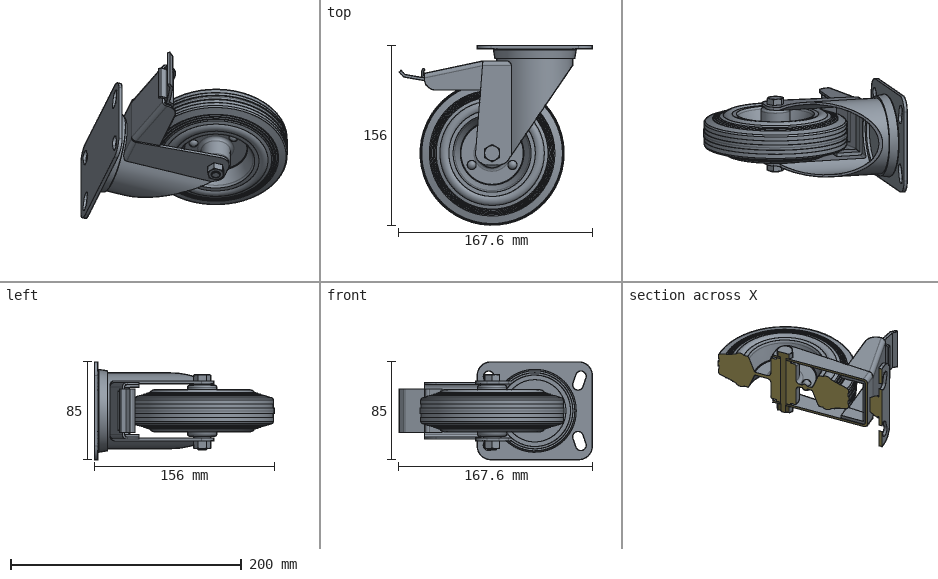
import cadquery as cq
import math


SWIVEL_X = 37.0
PLATE_LENGTH = 100.0
PLATE_WIDTH = 85.0
PLATE_THICKNESS = 3.0
PLATE_TOP_Y = 93.5
PLATE_CORNER_RADIUS = 12.0
PLATE_BOTTOM_Y = PLATE_TOP_Y - PLATE_THICKNESS
SLOT_WIDTH = 9.0
SLOT_LENGTH = 16.8
SLOT_ANGLE = 71.0
SLOT_PITCH_X = 77.4
SLOT_PITCH_Z = 52.4

HEAD_TOP_RADIUS = 36.0
HEAD_BOTTOM_RADIUS = 34.7
HEAD_BEVEL = 0.9
HEAD_BOTTOM_Y = 82.0

FORK_OUTER_Z = 26.0
FORK_SHEET = 2.6
FORK_INNER_Z = FORK_OUTER_Z - FORK_SHEET
FORK_WEB_TOP_Y = 80.0
FORK_BEND_RADIUS = 4.0
FORK_BEND_INNER_RADIUS = 2.0
FORK_TUBE_RADIUS = 33.0
FORK_TUBE_BORE_RADIUS = 31.0
FORK_TOP_OPENING_RADIUS = 54.0 / 2
FORK_FRONT_TOP_X = -8.0
FORK_FRONT_BOTTOM_X = -15.2
FORK_LEG_BOTTOM_Y = -10.2
FORK_LEG_CORNER_RADIUS = 10.0
FORK_REAR_X = SWIVEL_X + FORK_TUBE_RADIUS
FORK_REAR_CUT_Y = 76.3
FORK_REAR_SLOPE = 1.468

BRACKET_OUTER_Z = 24.6
BRACKET_SHEET = 2.0
BRACKET_FRONT_X = -58.7
BRACKET_FRONT_TOP_Y = 69.3
BRACKET_BOTTOM_Y = 54.6
BRACKET_CORNER_RADIUS = 10.0
BRACKET_BEND_RADIUS = 4.0
LINER_SHEET = 2.0
LINER_REAR_X = 3.0
LINER_INNER_Z = 20.4

PEDAL_HALF_WIDTH = 19.0
NOSE_SHEET = 2.4
OVERALL_LENGTH = 167.55
PEDAL_TIP_X = SWIVEL_X + PLATE_LENGTH / 2 - OVERALL_LENGTH
TIP_Y = 70.2
TIP_STEP = 1.7
HANDLE_BEND_X = -76.3
HANDLE_BEND_Y = 65.9
HANDLE_BEND_SHIFT = 0.6
HANDLE_BEND_RADIUS = 2.4
HANDLE_RISE = 2.5
HANDLE_END_Y = 62.8
NOSE_FRONT_X = -58.7
NOSE_ARC_START = (-57.8, 60.2)
NOSE_ARC_MIDDLE = (-56.3, 58.3)
NOSE_ARC_END = (-54.1, 58.5)
NOSE_INNER_CORNER = (-55.4, 60.6)
ARM_TOP_Y = 69.0
LEAF_HALF_WIDTH = 17.0
LEAF_END_X = -24.0
LEAF_SHEET = 2.0
TAB_FRONT_X = -61.1
TAB_HOOK_Y = 71.4
TAB_HOOK_REACH = 0.9

HUB_RADIUS = 25.4 / 2
HUB_HALF_LENGTH = 22.2
HUB_EDGE_FILLET = 2.0
HUB_FOOT_RADIUS = 15.7
BUSH_RADIUS = 15.0 / 2
DISC_HALF_THICKNESS = 1.8
DISC_RADIUS = 54.0 / 2
DISC_EDGE_STEP = 0.6
RIM_BORE_RADIUS = 65.0 / 2
RIM_LIP_RADIUS = 33.8
RIM_LIP_Z = 17.0
RIM_LIP_BEVEL = 2.0
BEAD_INNER_RADIUS = 75.0 / 2
BEAD_OUTER_RADIUS = 45.3
BEAD_CREST_RADIUS = 41.5
BEAD_CREST_Z = 18.3
BEAD_FOOT_Z = 16.0
RIB_COUNT = 3
RIB_INNER_RADIUS = 48.5
RIB_PITCH = 2.0
RIB_DEPTH = 0.5
SHOULDER_RADIUS = 61.0
SHOULDER_Z = 11.0
TREAD_RADIUS = 62.5
TREAD_RIDGE_Z = 2.3
TREAD_GROOVE_RADIUS = 61.7
TREAD_GROOVE_Z = 5.9
TREAD_EDGE_RADIUS = 62.0
TREAD_EDGE_Z = 9.5
RIVET_RADIUS = 8.0 / 2
RIVET_CENTRE_Z = 1.0
RIVET_COUNT = 3
RIVET_CIRCLE_RADIUS = 20.4

BOLT_RADIUS = 8.0 / 2
BOLT_END_Z = -33.9
BOLT_END_CHAMFER = (8.0 - 6.65) / 2
HEX_ACROSS_FLATS = 13.0
HEX_CORNER_DIAMETER = HEX_ACROSS_FLATS / math.cos(math.radians(30))
HEX_BEVEL_WIDTH = 1.0
HEX_BEVEL_HEIGHT = 0.5
BOLT_HEAD_HEIGHT = 5.3
NUT_HEIGHT = 6.8


def centred_prism(profile, half_width):
    """Extrude an XY profile to both sides of the wheel's middle plane."""
    return profile.extrude(half_width, both=True)


def block(x_min, x_max, y_min, y_max, half_width):
    profile = cq.Workplane("XY").moveTo(x_min, y_min).lineTo(x_max, y_min)
    return centred_prism(profile.lineTo(x_max, y_max).lineTo(x_min, y_max).close(), half_width)


def swivel_cylinder(radius, y_bottom, y_top):
    base = cq.Vector(SWIVEL_X, y_bottom, 0)
    return cq.Workplane(cq.Solid.makeCylinder(radius, y_top - y_bottom, base, cq.Vector(0, 1, 0)))


def make_plate():
    """Slotted mounting plate with the conical swivel head below it."""
    plate = cq.Workplane("XY").box(PLATE_LENGTH, PLATE_THICKNESS, PLATE_WIDTH)
    plate = plate.edges("|Y").fillet(PLATE_CORNER_RADIUS)
    plate = plate.translate((SWIVEL_X, PLATE_TOP_Y - PLATE_THICKNESS / 2, 0))
    for side_x in (-1, 1):
        for side_z in (-1, 1):
            slot = cq.Workplane("XZ").slot2D(SLOT_LENGTH, SLOT_WIDTH, side_x * side_z * SLOT_ANGLE)
            slot = slot.extrude(PLATE_THICKNESS)
            slot_x = SWIVEL_X + side_x * SLOT_PITCH_X / 2
            plate = plate.cut(slot.translate((slot_x, PLATE_TOP_Y, side_z * SLOT_PITCH_Z / 2)))
    head = (
        cq.Workplane("XY")
        .moveTo(0, HEAD_BOTTOM_Y)
        .lineTo(HEAD_BOTTOM_RADIUS, HEAD_BOTTOM_Y)
        .lineTo(HEAD_TOP_RADIUS, PLATE_BOTTOM_Y - HEAD_BEVEL)
        .lineTo(HEAD_TOP_RADIUS - HEAD_BEVEL, PLATE_BOTTOM_Y)
        .lineTo(0, PLATE_BOTTOM_Y)
        .close()
        .revolve(360, (0, 0, 0), (0, 1, 0))
    )
    return plate.union(head.translate((SWIVEL_X, 0, 0)))


def fork_side_prism():
    """Envelope of the fork as seen along the axle: upright front edge, rounded foot, slanted rear edge."""
    foot_rear_x = FORK_REAR_X - (FORK_REAR_CUT_Y - FORK_LEG_BOTTOM_Y) / FORK_REAR_SLOPE
    outline = cq.Workplane("XY").polyline([
        (FORK_FRONT_BOTTOM_X, FORK_LEG_BOTTOM_Y),
        (foot_rear_x, FORK_LEG_BOTTOM_Y),
        (FORK_REAR_X, FORK_REAR_CUT_Y),
        (FORK_REAR_X, HEAD_BOTTOM_Y),
        (FORK_FRONT_TOP_X, HEAD_BOTTOM_Y),
        (FORK_FRONT_TOP_X, FORK_WEB_TOP_Y),
    ]).close()
    solid = centred_prism(outline, FORK_TUBE_RADIUS)
    return solid.edges("|Z").edges("<Y").fillet(FORK_LEG_CORNER_RADIUS)


def bracket_web_under_y(x):
    """Height of the underside of the bracket's sloping web."""
    run = FORK_FRONT_TOP_X - BRACKET_FRONT_X
    rise = FORK_WEB_TOP_Y - BRACKET_FRONT_TOP_Y
    web_drop = BRACKET_SHEET * math.hypot(run, rise) / run
    return FORK_WEB_TOP_Y - web_drop - (FORK_FRONT_TOP_X - x) * rise / run


def make_bracket():
    """Sloping channel that reaches forward from the fork and carries the pedal."""
    slope_run = FORK_FRONT_TOP_X - BRACKET_FRONT_X
    slope_rise = FORK_WEB_TOP_Y - BRACKET_FRONT_TOP_Y
    slope = cq.Vector(slope_run, slope_rise, 0)
    web_drop = FORK_WEB_TOP_Y - bracket_web_under_y(FORK_FRONT_TOP_X)
    front_slant = (FORK_FRONT_TOP_X - FORK_FRONT_BOTTOM_X) / (FORK_WEB_TOP_Y - FORK_LEG_BOTTOM_Y)
    rear_bottom_x = FORK_FRONT_TOP_X - front_slant * (FORK_WEB_TOP_Y - BRACKET_BOTTOM_Y)

    def channel_fill(drop, half_width, bend_radius):
        outline = cq.Workplane("XY").polyline([
            (BRACKET_FRONT_X, BRACKET_BOTTOM_Y),
            (rear_bottom_x, BRACKET_BOTTOM_Y),
            (FORK_FRONT_TOP_X, FORK_WEB_TOP_Y - drop),
            (BRACKET_FRONT_X, BRACKET_FRONT_TOP_Y - drop),
        ]).close()
        fill = centred_prism(outline, half_width)
        return fill.edges(cq.selectors.ParallelDirSelector(slope)).fillet(bend_radius)

    outer = channel_fill(0, BRACKET_OUTER_Z, BRACKET_BEND_RADIUS)
    outer = outer.edges("|Z").edges("<X").edges("<Y").fillet(BRACKET_CORNER_RADIUS)
    inner_radius = BRACKET_BEND_RADIUS - BRACKET_SHEET
    return outer.cut(channel_fill(web_drop, BRACKET_OUTER_Z - BRACKET_SHEET, inner_radius))


def make_liner():
    """Inner channel flush with the fork's front edge, from the web down to the bracket's lower edge."""
    web_under_y = FORK_WEB_TOP_Y - FORK_SHEET
    outer = block(FORK_FRONT_BOTTOM_X, LINER_REAR_X, BRACKET_BOTTOM_Y, web_under_y, FORK_INNER_Z)
    outer = outer.edges("|X and >Y").fillet(FORK_BEND_INNER_RADIUS)
    opening_top_y = web_under_y - LINER_SHEET
    opening = block(FORK_FRONT_BOTTOM_X, LINER_REAR_X, BRACKET_BOTTOM_Y, opening_top_y, LINER_INNER_Z)
    return outer.cut(opening).intersect(fork_side_prism())


def make_fork():
    """Two legs joined by a web, running into the swivel tube, with the brake bracket."""
    front_x = BRACKET_FRONT_X
    web_under_y = FORK_WEB_TOP_Y - FORK_SHEET
    lowest_y = FORK_LEG_BOTTOM_Y
    channel = block(front_x, SWIVEL_X, lowest_y, FORK_WEB_TOP_Y, FORK_OUTER_Z)
    channel = channel.edges("|X and >Y").fillet(FORK_BEND_RADIUS)
    cavity = block(front_x, SWIVEL_X, lowest_y, web_under_y, FORK_INNER_Z)
    cavity = cavity.edges("|X and >Y").fillet(FORK_BEND_INNER_RADIUS)
    tube = swivel_cylinder(FORK_TUBE_RADIUS, lowest_y, HEAD_BOTTOM_Y)
    bore = swivel_cylinder(FORK_TUBE_BORE_RADIUS, lowest_y, HEAD_BOTTOM_Y - FORK_SHEET)
    bore = bore.union(swivel_cylinder(FORK_TOP_OPENING_RADIUS, lowest_y, HEAD_BOTTOM_Y))

    fork = channel.union(tube).cut(cavity).cut(bore).intersect(fork_side_prism())
    fork = fork.union(make_liner()).union(make_bracket())
    return fork.cut(cq.Workplane("XY").circle(BOLT_RADIUS).extrude(FORK_OUTER_Z, both=True))


def make_handle():
    """Foot plate with a 45-degree tip."""
    bend = (HANDLE_BEND_X, HANDLE_BEND_Y)
    outline = cq.Workplane("XY").polyline([
        (PEDAL_TIP_X, TIP_Y),
        bend,
        (NOSE_FRONT_X, HANDLE_END_Y),
        (NOSE_FRONT_X + NOSE_SHEET, HANDLE_END_Y),
        (NOSE_FRONT_X + NOSE_SHEET, HANDLE_END_Y + HANDLE_RISE),
        (NOSE_FRONT_X, HANDLE_END_Y + HANDLE_RISE),
        (HANDLE_BEND_X + HANDLE_BEND_SHIFT, HANDLE_BEND_Y + HANDLE_RISE),
        (PEDAL_TIP_X + TIP_STEP, TIP_Y + TIP_STEP),
    ]).close()
    handle = centred_prism(outline, PEDAL_HALF_WIDTH)
    return handle.edges(cq.selectors.NearestToPointSelector((*bend, 0))).fillet(HANDLE_BEND_RADIUS)


def make_nose():
    """Rounded nose below the handle, with an arm that climbs at 45 degrees to the leaf."""
    outline = (
        cq.Workplane("XY")
        .moveTo(NOSE_FRONT_X, HANDLE_END_Y)
        .lineTo(*NOSE_ARC_START)
        .threePointArc(NOSE_ARC_MIDDLE, NOSE_ARC_END)
        .lineTo(NOSE_ARC_END[0] + ARM_TOP_Y - NOSE_ARC_END[1], ARM_TOP_Y)
        .lineTo(NOSE_INNER_CORNER[0] + ARM_TOP_Y - NOSE_INNER_CORNER[1], ARM_TOP_Y)
        .lineTo(*NOSE_INNER_CORNER)
        .lineTo(NOSE_FRONT_X + NOSE_SHEET, HANDLE_END_Y)
        .close()
    )
    return centred_prism(outline, PEDAL_HALF_WIDTH)


def make_leaf():
    """Narrower leaf flat against the bracket web, ending in an upright hooked tab at the front."""
    tab_rear_x = TAB_FRONT_X + LEAF_SHEET
    front_top_y = bracket_web_under_y(tab_rear_x)
    front_bottom_y = front_top_y - LEAF_SHEET
    outline = (
        cq.Workplane("XY")
        .moveTo(tab_rear_x, front_bottom_y)
        .lineTo(LEAF_END_X, bracket_web_under_y(LEAF_END_X) - LEAF_SHEET)
        .lineTo(LEAF_END_X, bracket_web_under_y(LEAF_END_X))
        .lineTo(tab_rear_x, front_top_y)
        .lineTo(tab_rear_x, TAB_HOOK_Y)
        .line(TAB_HOOK_REACH, TAB_HOOK_REACH)
        .line(-TAB_HOOK_REACH, TAB_HOOK_REACH)
        .line(-TAB_HOOK_REACH, 0)
        .lineTo(TAB_FRONT_X, TAB_HOOK_Y)
        .lineTo(TAB_FRONT_X, front_top_y)
        .radiusArc((tab_rear_x, front_bottom_y), -LEAF_SHEET)
        .close()
    )
    return centred_prism(outline, LEAF_HALF_WIDTH)


def make_pedal():
    return make_handle().union(make_nose()).union(make_leaf())


def make_wheel():
    """Tyre, rim and hub revolved about the axle, with rivet heads on both disc faces."""
    wall_slope = (BEAD_FOOT_Z - SHOULDER_Z) / (SHOULDER_RADIUS - BEAD_OUTER_RADIUS)

    def wall_z(radius):
        return SHOULDER_Z + (SHOULDER_RADIUS - radius) * wall_slope

    foot_drop = HUB_FOOT_RADIUS - HUB_RADIUS
    half = (
        cq.Workplane("XZ")
        .moveTo(BOLT_RADIUS, 0)
        .lineTo(BOLT_RADIUS, FORK_INNER_Z)
        .lineTo(BUSH_RADIUS, FORK_INNER_Z)
        .lineTo(BUSH_RADIUS, HUB_HALF_LENGTH)
        .lineTo(HUB_RADIUS - HUB_EDGE_FILLET, HUB_HALF_LENGTH)
        .radiusArc((HUB_RADIUS, HUB_HALF_LENGTH - HUB_EDGE_FILLET), HUB_EDGE_FILLET)
        .lineTo(HUB_RADIUS, DISC_HALF_THICKNESS + foot_drop)
        .radiusArc((HUB_FOOT_RADIUS, DISC_HALF_THICKNESS), -foot_drop)
        .lineTo(DISC_RADIUS, DISC_HALF_THICKNESS)
        .line(DISC_EDGE_STEP, DISC_EDGE_STEP)
        .lineTo(RIM_BORE_RADIUS, RIM_LIP_Z - RIM_LIP_BEVEL)
        .lineTo(RIM_LIP_RADIUS, RIM_LIP_Z)
        .lineTo(BEAD_INNER_RADIUS, RIM_LIP_Z)
        .threePointArc((BEAD_CREST_RADIUS, BEAD_CREST_Z), (BEAD_OUTER_RADIUS, BEAD_FOOT_Z))
        .lineTo(RIB_INNER_RADIUS, wall_z(RIB_INNER_RADIUS))
    )
    for rib in range(RIB_COUNT):
        groove_radius = RIB_INNER_RADIUS + (rib + 0.5) * RIB_PITCH
        crest_radius = RIB_INNER_RADIUS + (rib + 1) * RIB_PITCH
        half = half.lineTo(groove_radius, wall_z(groove_radius) - RIB_DEPTH)
        half = half.lineTo(crest_radius, wall_z(crest_radius))
    half = (
        half.lineTo(SHOULDER_RADIUS, SHOULDER_Z)
        .lineTo(TREAD_EDGE_RADIUS, TREAD_EDGE_Z)
        .lineTo(TREAD_EDGE_RADIUS, TREAD_GROOVE_Z)
        .lineTo(TREAD_GROOVE_RADIUS, TREAD_GROOVE_Z)
        .lineTo(TREAD_GROOVE_RADIUS, TREAD_RIDGE_Z)
        .lineTo(TREAD_RADIUS, TREAD_RIDGE_Z)
        .lineTo(TREAD_RADIUS, 0)
        .close()
        .revolve(360, (0, 0, 0), (0, 1, 0))
    )
    wheel = half.union(half.mirror("XY"))
    rivets = cq.Workplane("XY").polarArray(RIVET_CIRCLE_RADIUS, 90, 360, RIVET_COUNT)
    for side in (-1, 1):
        heads = rivets.sphere(RIVET_RADIUS, combine=False)
        wheel = wheel.union(heads.translate((0, 0, side * RIVET_CENTRE_Z)))
    return wheel


def hexagon(height):
    """Hexagon with two corners on the Y axis and a bevelled upper rim."""
    hexagon_prism = cq.Workplane("XY").polygon(6, HEX_CORNER_DIAMETER).extrude(height)
    envelope = cq.Workplane("XY").circle(HEX_CORNER_DIAMETER / 2).extrude(height)
    envelope = envelope.faces(">Z").chamfer(HEX_BEVEL_HEIGHT, HEX_BEVEL_WIDTH)
    return hexagon_prism.intersect(envelope).rotate((0, 0, 0), (0, 0, 1), 90)


def make_bolt():
    shank = cq.Workplane("XY").workplane(offset=BOLT_END_Z).circle(BOLT_RADIUS)
    shank = shank.extrude(FORK_OUTER_Z - BOLT_END_Z).faces("<Z").chamfer(BOLT_END_CHAMFER)
    return shank.union(hexagon(BOLT_HEAD_HEIGHT).translate((0, 0, FORK_OUTER_Z)))


def make_nut():
    nut = hexagon(NUT_HEIGHT).cut(cq.Workplane("XY").circle(BOLT_RADIUS).extrude(NUT_HEIGHT))
    return nut.rotate((0, 0, 0), (1, 0, 0), 180).translate((0, 0, -FORK_OUTER_Z))


plate = make_plate()
fork = make_fork()
pedal = make_pedal()
wheel = make_wheel()
bolt = make_bolt()
nut = make_nut()

result = cq.Compound.makeCompound([
    plate.val(), fork.val(), pedal.val(), wheel.val(), bolt.val(), nut.val(),
])